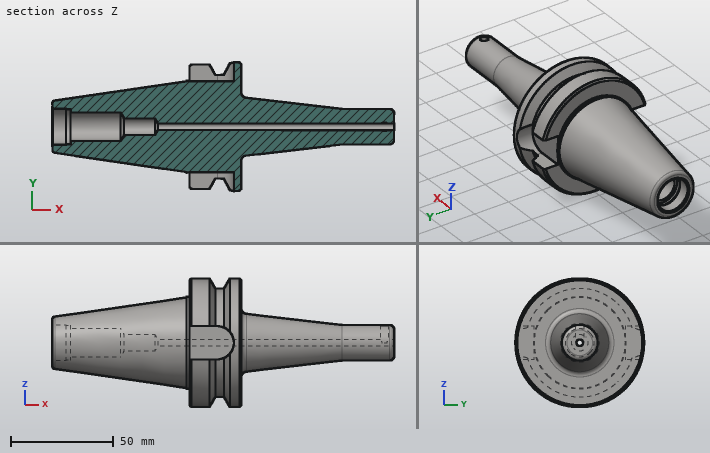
import cadquery as cq
import math

total_length = 167.0
taper_end = 65.5
flange_start = 67.0
flange_end = 92.4
groove_floor_start = 79.7
groove_floor_end = 83.8
neck_end = 141.5

shank_large_radius = 22.2
shank_taper = 7 / 24
shank_end_round = 1.7
collar_radius = 22.5

flange_radius = 31.48
groove_radius = 26.5
groove_side_run = (flange_radius - groove_radius) * math.tan(math.radians(30))
flange_chamfer = 1.0

neck_radius = 14.2
neck_fillet = 2.5
nose_radius = 8.77
nose_round = 2.5

mouth_radius = 9.5
mouth_chamfer_depth = 0.5
counterbore_radius = 8.77
counterbore_depth = 6.8
step_radius = 8.5
step_depth = 9.0
thread_radius = 6.93
thread_depth = 33.4
pilot_radius = 4.0
pilot_depth = 50.1
drill_tip_angle = 59
oil_hole_radius = 1.59

slot_width = 16.2
slot_floor = 22.2
slot_end = 88.7
cross_hole_diameter = 4.0
cross_hole_position = 162.2


def revolved(profile):
    """Turn a closed (x, radius) profile about the X axis."""
    return profile.close().revolve(360, (0, 0, 0), (1, 0, 0))


def turned_body():
    shank_small_radius = shank_large_radius - taper_end * shank_taper / 2
    profile = (
        cq.Workplane("XY")
        .lineTo(0, shank_small_radius)
        .lineTo(taper_end, shank_large_radius)
        .lineTo(taper_end, collar_radius)
        .lineTo(flange_start, collar_radius)
        .lineTo(flange_start, flange_radius - flange_chamfer)
        .lineTo(flange_start + flange_chamfer, flange_radius)
        .lineTo(groove_floor_start - groove_side_run, flange_radius)
        .lineTo(groove_floor_start, groove_radius)
        .lineTo(groove_floor_end, groove_radius)
        .lineTo(groove_floor_end + groove_side_run, flange_radius)
        .lineTo(flange_end - flange_chamfer, flange_radius)
        .lineTo(flange_end, flange_radius - flange_chamfer)
        .lineTo(flange_end, neck_radius + neck_fillet)
        .radiusArc((flange_end + neck_fillet, neck_radius), -neck_fillet)
        .lineTo(neck_end, nose_radius)
        .lineTo(total_length, nose_radius)
        .lineTo(total_length, 0)
    )
    body = revolved(profile)
    body = body.faces("<X").edges().fillet(shank_end_round)
    return body.faces(">X").edges().fillet(nose_round)


def bore():
    tip_slope = math.tan(math.radians(drill_tip_angle))
    thread_tip = (thread_radius - pilot_radius) / tip_slope
    pilot_tip = (pilot_radius - oil_hole_radius) / tip_slope
    profile = (
        cq.Workplane("XY")
        .lineTo(0, mouth_radius)
        .lineTo(mouth_chamfer_depth, counterbore_radius)
        .lineTo(counterbore_depth, counterbore_radius)
        .lineTo(counterbore_depth, step_radius)
        .lineTo(step_depth, step_radius)
        .lineTo(step_depth, thread_radius)
        .lineTo(thread_depth, thread_radius)
        .lineTo(thread_depth + thread_tip, pilot_radius)
        .lineTo(pilot_depth, pilot_radius)
        .lineTo(pilot_depth + pilot_tip, oil_hole_radius)
        .lineTo(total_length, oil_hole_radius)
        .lineTo(total_length, 0)
    )
    return revolved(profile)


def drive_slot(side):
    """Round-ended key slot, open towards the shank; side is -1 or +1 along Y."""
    half_width = slot_width / 2
    arc_center = slot_end - half_width
    depth = flange_radius - slot_floor
    return (
        cq.Workplane("XZ", origin=(0, side * slot_floor, 0))
        .moveTo(flange_start, -half_width)
        .lineTo(arc_center, -half_width)
        .threePointArc((slot_end, 0), (arc_center, half_width))
        .lineTo(flange_start, half_width)
        .close()
        .extrude(-side * depth)
    )


def cross_hole():
    """Radial hole from the top of the nose down to the oil hole."""
    return (
        cq.Workplane("XY")
        .center(cross_hole_position, 0)
        .circle(cross_hole_diameter / 2)
        .extrude(nose_radius)
    )


result = turned_body().cut(bore())
for slot_side in (-1, 1):
    result = result.cut(drive_slot(slot_side))
result = result.cut(cross_hole())